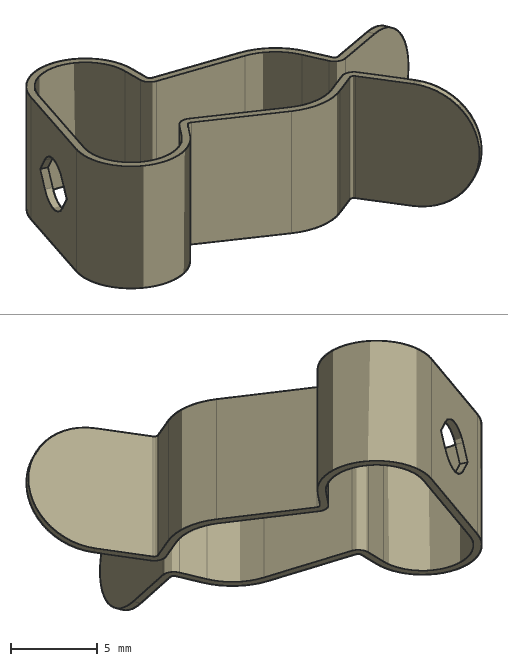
import cadquery as cq
import math

overall_length = 24.5
overall_span = 13.8
width = 8.0
thickness = 0.5

ring_radius = 3.18
ring_half_span = overall_span / 2 - ring_radius - thickness / 2
bend_radius = 0.5
grip_radius = 3.7
ring = (ring_half_span, ring_radius + thickness / 2, ring_radius)
throat_bend = (3.2, 7.35, -bend_radius)
grip = (0.0, 13.9, grip_radius)
mouth_bend = (1.5, 18.18, -bend_radius)
lip_lean = math.radians(51)
lip_tip = (5.75, overall_length - thickness / 2 * math.cos(lip_lean), 0.0)
arcs = [ring, throat_bend, grip, mouth_bend]

hole_radius = 1.62
hole_half_length = 2.0


def tangent_angle(first, second):
    """Direction of the line that leaves the first arc and joins the second."""
    dx = second[0] - first[0]
    dy = second[1] - first[1]
    return math.atan2(dy, dx) + math.asin((first[2] - second[2]) / math.hypot(dx, dy))


def arc_point(arc, heading, offset):
    """Point of an arc with the given heading, moved to the right of travel by offset."""
    radius = arc[2] + offset
    return (arc[0] + radius * math.sin(heading), arc[1] - radius * math.cos(heading))


stations = arcs + [lip_tip]
headings = [0.0] + [tangent_angle(a, b) for a, b in zip(stations, stations[1:])]
lip_heading = headings[-1]


def strip_face(offset):
    """Arc ends and midpoints along one face of the strip, from the middle to the lip tip."""
    points = []
    for arc, heading_in, heading_out in zip(arcs, headings, headings[1:]):
        turn = math.remainder(heading_out - heading_in, math.tau)
        if turn * arc[2] < 0:
            turn += math.copysign(math.tau, arc[2])
        points.append([arc_point(arc, heading_in + turn * part, offset) for part in (0, 0.5, 1)])
    return points


def half_strip():
    outline = cq.Workplane("XY").moveTo(0, 0)
    for start, middle, end in strip_face(thickness / 2):
        outline = outline.lineTo(*start).threePointArc(middle, end)
    outline = outline.lineTo(*arc_point(lip_tip, lip_heading, thickness / 2))
    outline = outline.lineTo(*arc_point(lip_tip, lip_heading, -thickness / 2))
    for start, middle, end in reversed(strip_face(-thickness / 2)):
        outline = outline.lineTo(*end).threePointArc(middle, start)
    return outline.lineTo(0, thickness).close().extrude(width / 2, both=True)


def lip_trim():
    """Waste around the full-round end of the lip."""
    end_radius = width / 2
    along = (math.cos(lip_heading), math.sin(lip_heading), 0)
    across = (math.sin(lip_heading), -math.cos(lip_heading), 0)
    centre = (lip_tip[0] - end_radius * along[0], lip_tip[1] - end_radius * along[1], 0)
    plane = cq.Plane(origin=centre, xDir=along, normal=across)
    block = cq.Workplane(plane).center(width / 2, 0).rect(width, 2 * width).extrude(thickness, both=True)
    disc = cq.Workplane(plane).circle(end_radius).extrude(thickness, both=True)
    return block.cut(disc)


def screw_hole():
    touch_x = hole_radius**2 / hole_half_length
    touch_z = math.sqrt(hole_radius**2 - touch_x**2)
    return (
        cq.Workplane("XZ", origin=(0, thickness, 0))
        .moveTo(-hole_half_length, 0)
        .lineTo(-touch_x, touch_z)
        .threePointArc((0, hole_radius), (touch_x, touch_z))
        .lineTo(hole_half_length, 0)
        .lineTo(touch_x, -touch_z)
        .threePointArc((0, -hole_radius), (-touch_x, -touch_z))
        .close()
        .extrude(thickness)
    )


right_half = half_strip().cut(lip_trim())
result = right_half.union(right_half.mirror("YZ")).cut(screw_hole())